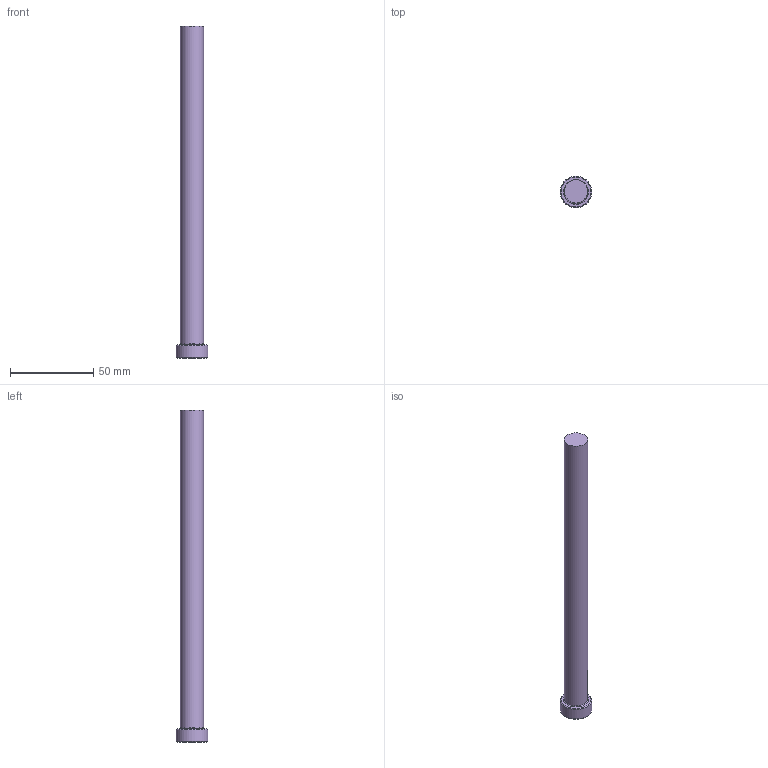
import cadquery as cq

overall_length = 200.0
shank_diameter = 14.0
head_diameter = 19.0
head_height = 8.0
head_chamfer = 0.5
neck_fillet = 0.5


def make_head():
    """Flat round head standing on Z = 0, with both rims chamfered."""
    head = cq.Workplane("XY").circle(head_diameter / 2).extrude(head_height)
    return head.faces("<Z or >Z").edges().chamfer(head_chamfer)


def make_shank():
    """Plain cylindrical shank running up through the head to the tip."""
    return cq.Workplane("XY").circle(shank_diameter / 2).extrude(overall_length)


def round_neck(pin):
    """Fillet the inside corner where the shank leaves the head."""
    neck_radius = shank_diameter / 2
    neck_edge = cq.selectors.BoxSelector(
        (-neck_radius - neck_fillet, -neck_radius - neck_fillet, head_height - neck_fillet / 2),
        (neck_radius + neck_fillet, neck_radius + neck_fillet, head_height + neck_fillet / 2),
        boundingbox=True,
    )
    return pin.edges(neck_edge).fillet(neck_fillet)


result = round_neck(make_head().union(make_shank()))